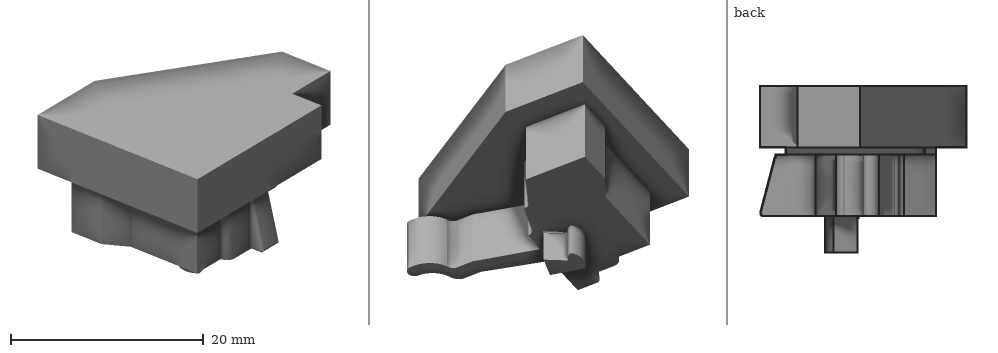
import cadquery as cq

body_bottom = 3.8
lever_top = 10.17
cap_bottom = 10.93
cap_top = 17.32

cap_width = 21.5
cap_depth = 26.51
cap_slant_start = 9.35
cap_slant_end = 11.1
cap_notch_x = 17.6
cap_notch_y = 20.28

block_left = 3.17
block_right = 18.81
block_front = 1.65
block_step_y = 3.15
block_step_start = 7.2
block_step_end = 9.95
block_back = 9.57
block_corner_x = 4.35
block_corner_radius = 0.79
block_corner_fillet = 0.75

lever_right = 19.85
lever_back = 13.35
lever_front = 7.05
lever_corner_radius = lever_right - block_right
hook_left = 9.14
hook_right = 10.7
hook_end = 27.1
hook_shoulder = 26.5
arm_left = 11.65
arm_right = 13.55
arm_root = 13.55
arm_root_right = 15.72
arm_bend_start = 19.85
arm_bend_end = 20.45
arm_bend_offset = 0.14
arm_bend_middle = (11.68, 20.15)
neck_y = 22.28
hook_side_y = 25.84

first_step_start = (6.5, 10.55)
first_step_inner = (6.9, 10.74)
first_step_middle = (7.05, 11.12)
first_step_outer = (7.18, 11.39)
first_step_end = (7.48, 11.5)
second_step_start = (10.3, 12.4)
second_step_inner = (10.85, 12.65)
second_step_end = (11.03, 13.18)

neck_middle = (11.47, 22.75)
neck_end = (10.98, 23.02)
hook_belly = (9.6, 24.3)
hook_back = (11.33, 24.6)
hook_back_end = (12.75, 23.59)
outer_neck_middle = (13.37, 23.05)

barb_tip = 21.45
barb_front = block_back + lever_corner_radius
barb_round = 0.33
barb_top_step = 0.1
barb_bevel = 0.33
barb_toe_bevel = 0.25
selection_margin = 0.03

pin_left = 11.93
pin_right = 14.75
pin_front = 8.0
pin_side_y = 8.5
pin_shoulder_radius = 0.87
pin_tail_x = 11.33
pin_tail_y = 11.55
pin_back = 12.25
pin_back_x = 13.83
collar_height = 0.2
collar_left = 11.25
collar_front_x = 12.42
collar_front = 9.81


def extrude_between(outline, bottom, top):
    """Extrude a closed XY outline from one height to another."""
    return outline.extrude(top - bottom).translate((0, 0, bottom))


def make_cap():
    outline = cq.Workplane("XY").polyline([
        (0, 0),
        (cap_width, 0),
        (cap_width, cap_notch_y),
        (cap_notch_x, cap_notch_y),
        (cap_notch_x, cap_depth),
        (cap_slant_end, cap_depth),
        (0, cap_slant_start),
    ]).close()
    return extrude_between(outline, cap_bottom, cap_top)


def make_block():
    outline = cq.Workplane("XY").polyline([
        (block_left, block_front),
        (block_step_start, block_front),
        (block_step_end, block_step_y),
        (block_right, block_step_y),
        (block_right, block_back),
        (block_corner_x, block_back),
        (block_corner_x, block_back - block_corner_radius),
        (block_left, block_back - block_corner_radius),
    ]).close()
    block = extrude_between(outline, body_bottom, cap_bottom)
    back_corner = cq.NearestToPointSelector((block_corner_x, block_back, (body_bottom + cap_bottom) / 2))
    return block.edges(back_corner).fillet(block_corner_fillet)


def make_lever():
    """Stepped root behind the block, with a leaning arm ending in a rounded hook."""
    outline = (
        cq.Workplane("XY")
        .moveTo(block_left, block_back - block_corner_radius)
        .lineTo(*first_step_start)
        .threePointArc(first_step_inner, first_step_middle)
        .threePointArc(first_step_outer, first_step_end)
        .lineTo(*second_step_start)
        .threePointArc(second_step_inner, second_step_end)
        .lineTo(arm_root, lever_back)
        .lineTo(arm_left + arm_bend_offset, arm_bend_start)
        .threePointArc(arm_bend_middle, (arm_left, arm_bend_end))
        .lineTo(arm_left, neck_y)
        .threePointArc(neck_middle, neck_end)
        .threePointArc(hook_belly, (hook_left, hook_side_y))
        .lineTo(hook_left, hook_shoulder)
        .threePointArc(((hook_left + hook_right) / 2, hook_end), (hook_right, hook_shoulder))
        .threePointArc(hook_back, hook_back_end)
        .threePointArc(outer_neck_middle, (arm_right, neck_y))
        .lineTo(arm_right, arm_bend_end)
        .lineTo(arm_root_right, lever_back)
        .lineTo(lever_right, lever_back)
        .lineTo(lever_right, lever_front + lever_corner_radius)
        .radiusArc((block_right, lever_front), lever_corner_radius)
        .lineTo(block_right, block_back - block_corner_radius)
        .close()
    )
    return extrude_between(outline, body_bottom, lever_top)


def make_barb():
    """Wedge that slopes outward toward the bottom of the lever, with a blunted toe and front."""
    barb = (
        cq.Workplane("XZ", origin=(0, lever_back, 0))
        .moveTo(block_right, body_bottom)
        .lineTo(barb_tip - barb_round, body_bottom)
        .radiusArc((barb_tip, body_bottom + barb_round), -barb_round)
        .lineTo(lever_right + barb_top_step, lever_top - barb_round)
        .lineTo(lever_right - barb_top_step, lever_top)
        .lineTo(block_right, lever_top)
        .close()
        .extrude(lever_back - barb_front)
    )
    front_slope = cq.selectors.BoxSelector(
        (lever_right, barb_front - selection_margin, body_bottom + barb_round),
        (barb_tip, barb_front + selection_margin, lever_top - barb_round),
    )
    barb = barb.edges(front_slope).chamfer(barb_bevel)
    return barb.edges("<Z and <Y").chamfer(barb_toe_bevel)


def make_pin():
    """Round pin with a blunt tail, and a thin collar against the body."""
    shoulder_x = pin_left + pin_shoulder_radius
    shoulder_y = pin_side_y + pin_shoulder_radius
    outline = (
        cq.Workplane("XY")
        .moveTo(shoulder_x, shoulder_y)
        .radiusArc((pin_left, pin_side_y), -pin_shoulder_radius)
        .threePointArc(((pin_left + pin_right) / 2, pin_front), (pin_right, pin_side_y))
        .lineTo(pin_back_x, pin_back)
        .lineTo(pin_tail_x, pin_tail_y)
        .close()
    )
    pin = extrude_between(outline, 0, body_bottom)
    collar = extrude_between(
        cq.Workplane("XY").polyline([
            (collar_front_x, collar_front),
            (pin_back_x, collar_front),
            (pin_back_x, pin_tail_y),
            (collar_left, pin_tail_y),
        ]).close(),
        body_bottom - collar_height,
        body_bottom,
    )
    return pin.union(collar)


result = make_cap().union(make_block()).union(make_lever()).union(make_barb()).union(make_pin())